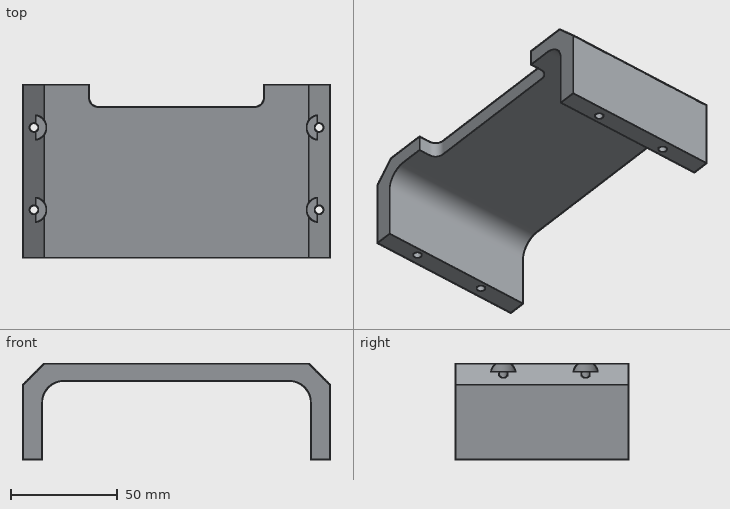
import cadquery as cq

length = 143.8
depth = 81.1
height = 45.0

leg_thickness = 9.0
plate_thickness = 8.2
inner_radius = 10.0
chamfer_size = 9.9

notch_width = 81.8
notch_depth = 10.5
notch_radius = 4.5

hole_diameter = 4.0
counterbore_diameter = 11.7
counterbore_depth = 3.9
hole_side_offset = 5.2
rear_hole_offset = 20.1
hole_spacing = 38.5

half_length = length / 2
half_depth = depth / 2


def channel():
    """Downward-opening channel, chamfered outside and rounded inside."""
    outer = (
        cq.Workplane("XZ")
        .moveTo(-half_length, 0)
        .lineTo(-half_length, height - chamfer_size)
        .lineTo(-half_length + chamfer_size, height)
        .lineTo(half_length - chamfer_size, height)
        .lineTo(half_length, height - chamfer_size)
        .lineTo(half_length, 0)
        .close()
        .extrude(half_depth, both=True)
    )
    opening = (
        cq.Workplane("XY")
        .rect(length - 2 * leg_thickness, depth)
        .extrude(height - plate_thickness)
        .edges("|Y and >Z")
        .fillet(inner_radius)
    )
    return outer.cut(opening)


def rear_notch():
    """Cutter open at the rear edge, with two rounded inner corners."""
    return (
        cq.Workplane("XY")
        .center(0, half_depth - notch_depth / 2)
        .rect(notch_width, notch_depth)
        .extrude(height)
        .edges("|Z and <Y")
        .fillet(notch_radius)
    )


def screw_holes():
    """Vertical through holes, two per leg, counterbored from the top."""
    x = half_length - hole_side_offset
    rear_y = half_depth - rear_hole_offset
    centers = [(side * x, y) for side in (-1, 1) for y in (rear_y, rear_y - hole_spacing)]
    holes = cq.Workplane("XY").pushPoints(centers).circle(hole_diameter / 2).extrude(height)
    counterbores = (
        cq.Workplane("XY", origin=(0, 0, height - counterbore_depth))
        .pushPoints(centers)
        .circle(counterbore_diameter / 2)
        .extrude(counterbore_depth)
    )
    return holes.union(counterbores)


result = channel().cut(rear_notch()).cut(screw_holes())